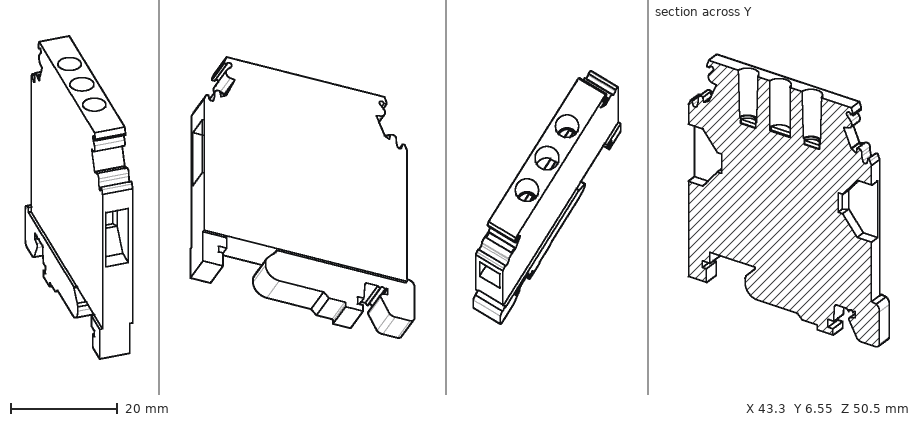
import cadquery as cq
import math


total_length = 43.26
total_thickness = 6.55
total_height = 50.47

body_length = 41.46
body_height = 41.45
body_thickness = 6.0
half_length = body_length / 2
half_thickness = body_thickness / 2
recess_wall = 0.2

lip_root = 16.14
lip_tip = 16.58
lip_drop = 1.57
neck_top = (14.45, 4.85)
neck_bottom = (16.14, 8.8)
nose_lower = (15.4, 4.67)
nose_upper = (16.05, 2.96)
shoulder_side = 18.53
shoulder_edge = (17.4, 8.42)
end_wall_drop = 11.04

foot_thickness = body_thickness
foot_shift = total_thickness - body_thickness
foot_front = -half_thickness - foot_shift
foot_left = half_length - total_length
foot_bottom = body_height - total_height
notch_roof = -2.4

screw_spacing = 7.2
screw_hole_depth = 10.0
screw_slot_depth = 0.8
center_hole_diameter = 4.5
center_slot_width = 1.08
side_hole_top_diameter = 4.35
side_hole_bottom_diameter = 3.8
side_head_diameter = 3.4
side_head_depth = 0.5
side_slot_width = 0.9
side_slot_offset = 0.09

entry_center_z = 20.0
entry_center_y = -0.09
entry_width = 4.45
entry_height = 12.25
entry_straight_depth = 3.25
entry_funnel_depth = 3.3
throat_height = 4.1
throat_width = 3.2
throat_depth = 1.0


def extrude_y(outline, front, thickness):
    """Extrude a closed XZ outline from Y = front towards +Y."""
    return outline.close().extrude(-thickness).translate((0, front, 0))


def at(x, drop):
    """XZ point at distance x from the middle plane, a drop below the top face."""
    return (x, body_height - drop)


def half_housing():
    """Right half of the housing, with the marker grooves on its shoulder."""
    outline = (
        cq.Workplane("XZ")
        .moveTo(0, 0)
        .lineTo(half_length, 0)
        .lineTo(*at(half_length, end_wall_drop))
        .lineTo(*at(20.35, 10.15))
        .threePointArc(at(20.07, 9.9), at(19.8, 9.98))
        .lineTo(*at(19.68, 10.6))
        .threePointArc(at(19.2, end_wall_drop), at(18.74, 10.6))
        .lineTo(*at(shoulder_side, 9.6))
        .lineTo(*at(shoulder_side, 8.85))
        .threePointArc(at(18.1, 8.33), at(*shoulder_edge))
        .lineTo(*at(16.4, 8.82))
        .lineTo(*at(*neck_bottom))
        .lineTo(*at(*neck_top))
        .lineTo(*at(*nose_lower))
        .threePointArc(at(16.23, 3.88), at(*nose_upper))
        .lineTo(*at(15.22, 2.0))
        .threePointArc(at(15.58, 1.2), at(16.02, lip_drop))
        .lineTo(*at(lip_tip, lip_drop))
        .lineTo(*at(lip_tip, 1.2))
        .lineTo(*at(lip_root, 0))
        .lineTo(*at(0, 0))
    )
    half = extrude_y(outline, -half_thickness, body_thickness)
    return half.cut(shoulder_recess())


def shoulder_recess():
    """Cutter for the recess at the root of the neck, between thin side walls."""
    outline = cq.Workplane("XZ").polyline([
        at(*shoulder_edge),
        at(17.2, 9.4),
        at(16.2, 8.85),
        at(16.4, 8.0),
    ])
    front = -half_thickness + recess_wall
    return extrude_y(outline, front, body_thickness - 2 * recess_wall)


def housing():
    right_half = half_housing()
    return right_half.union(right_half.mirror("YZ"))


def clamp_foot():
    """Spring foot on the -X side: rail hook, rail groove and release tongue."""
    hook_top = 1.05
    hook_radius = 1.0
    arc_inset = hook_radius * (1 - math.sqrt(0.5))
    hook_bottom = -8.5
    hook_wall = -17.0
    scallop_top = -2.3
    scallop_tip = -2.8
    stem_left = -12.02
    stem_right = -8.42
    stem_groove_wall = -10.9
    stem_groove_top = -6.0
    stem_groove_bottom = -7.6
    tongue_bottom = -6.9
    tongue_end = 7.95
    tongue_root = 5.7
    step_bottom = -8.0
    outline = (
        cq.Workplane("XZ")
        .moveTo(-half_length, 0)
        .lineTo(-half_length, hook_top)
        .lineTo(foot_left + 0.75, 0.82)
        .threePointArc((foot_left + 0.2, 0.3), (foot_left, -0.5))
        .lineTo(foot_left, hook_bottom + hook_radius)
        .threePointArc(
            (foot_left + arc_inset, hook_bottom + arc_inset),
            (foot_left + hook_radius, hook_bottom),
        )
        .lineTo(-18.5, hook_bottom)
        .threePointArc((-17.86, -8.37), (-17.35, -7.98))
        .lineTo(-15.6, -4.7)
        .threePointArc((-15.56, -4.25), (-15.85, -3.98))
        .lineTo(hook_wall, -3.64)
        .lineTo(hook_wall, notch_roof)
        .lineTo(-16.76, notch_roof)
        .lineTo(-16.4, scallop_tip)
        .threePointArc((-15.93, scallop_top), (-15.5, scallop_tip))
        .lineTo(-15.0, scallop_top)
        .lineTo(-12.65, scallop_top)
        .lineTo(-12.38, -2.6)
        .lineTo(-12.15, stem_groove_top)
        .lineTo(stem_groove_wall, stem_groove_top)
        .lineTo(stem_groove_wall, stem_groove_bottom)
        .lineTo(stem_left, stem_groove_bottom)
        .lineTo(stem_left, foot_bottom)
        .lineTo(stem_right, foot_bottom)
        .lineTo(stem_right, -8.25)
        .threePointArc((-8.35, -8.07), (-8.17, step_bottom))
        .lineTo(-5.04, step_bottom)
        .lineTo(-3.92, tongue_bottom)
        .lineTo(5.2, tongue_bottom)
        .threePointArc((7.2, -5.95), (tongue_end, -4.0))
        .lineTo(tongue_end, -3.1)
        .lineTo(7.7, -2.45)
        .lineTo(tongue_root, -0.25)
        .lineTo(tongue_root, 0)
    )
    return extrude_y(outline, foot_front, foot_thickness)


def fixed_foot():
    """Fixed foot on the +X side with a square rail groove."""
    root_x = 15.86
    toe_x = 16.6
    toe_bottom = -6.75
    groove_wall = 17.5
    groove_bottom = -3.73
    outline = (
        cq.Workplane("XZ")
        .moveTo(root_x, 0)
        .lineTo(root_x, notch_roof)
        .lineTo(groove_wall, notch_roof)
        .lineTo(groove_wall, groove_bottom)
        .lineTo(toe_x, groove_bottom)
        .lineTo(toe_x, toe_bottom)
        .lineTo(half_length, toe_bottom)
        .lineTo(half_length, 0)
    )
    return extrude_y(outline, foot_front, foot_thickness)


def screw_slot(x, y, head_z, head_diameter, width):
    """Cutter for the driver slot across a screw head whose face is at head_z."""
    base = cq.Workplane("XY", origin=(x, 0, head_z - screw_slot_depth))
    head = base.circle(head_diameter / 2).extrude(screw_slot_depth)
    slot = base.center(0, y).rect(head_diameter, width).extrude(screw_slot_depth)
    return head.intersect(slot)


def center_screw():
    """Cutter for the straight middle hole and its screw slot."""
    head_z = body_height - screw_hole_depth
    hole = (
        cq.Workplane("XY", origin=(0, 0, head_z))
        .circle(center_hole_diameter / 2)
        .extrude(screw_hole_depth)
    )
    return hole.union(screw_slot(0, 0, head_z, center_hole_diameter, center_slot_width))


def side_screw(x):
    """Cutter for a tapered hole that ends on a smaller, sunken screw head."""
    taper_end_z = body_height - screw_hole_depth
    head_z = taper_end_z - side_head_depth
    taper = (
        cq.Workplane("XY", origin=(x, 0, taper_end_z))
        .circle(side_hole_bottom_diameter / 2)
        .workplane(offset=screw_hole_depth)
        .circle(side_hole_top_diameter / 2)
        .loft(ruled=True)
    )
    seat = (
        cq.Workplane("XY", origin=(x, 0, head_z))
        .circle(side_head_diameter / 2)
        .extrude(side_head_depth)
    )
    slot = screw_slot(x, side_slot_offset, head_z, side_head_diameter, side_slot_width)
    return taper.union(seat).union(slot)


def wire_entry():
    """Cutter for the wire entry in the -X end face."""
    funnel_start = -half_length + entry_straight_depth
    funnel_end = funnel_start + entry_funnel_depth
    throat_end = funnel_end + throat_depth
    low = entry_center_z - entry_height / 2
    high = entry_center_z + entry_height / 2
    throat_low = entry_center_z - throat_height / 2
    throat_high = entry_center_z + throat_height / 2
    front = entry_center_y - entry_width / 2
    back = entry_center_y + entry_width / 2

    funnel = extrude_y(
        cq.Workplane("XZ").polyline([
            (-half_length, low),
            (funnel_start, low),
            (funnel_end, throat_low),
            (funnel_end, throat_high),
            (funnel_start, high),
            (-half_length, high),
        ]),
        front,
        entry_width,
    )
    throat = (
        cq.Workplane("XY", origin=(0, 0, throat_low))
        .polyline([
            (funnel_end, front),
            (throat_end, -throat_width / 2),
            (throat_end, throat_width / 2),
            (funnel_end, back),
        ])
        .close()
        .extrude(throat_height)
    )
    return funnel.union(throat)


result = housing().union(clamp_foot()).union(fixed_foot())

result = result.cut(center_screw())
for x in (-screw_spacing, screw_spacing):
    result = result.cut(side_screw(x))

entry = wire_entry()
result = result.cut(entry).cut(entry.mirror("YZ"))